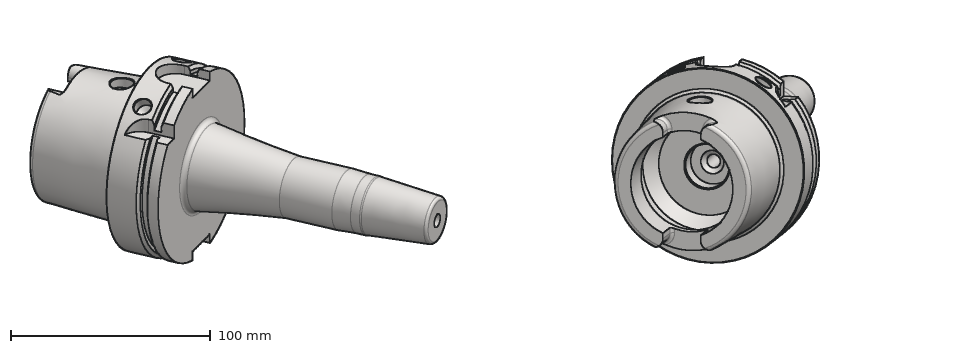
import cadquery as cq
import math


total_length = 210.0
shank_length = 50.0
flange_end = 79.0
neck_start = 47.7

shank_radius = 75.4 / 2
taper_slope = 0.05
mouth_radius = shank_radius - taper_slope * neck_start
mouth_fillet = 2.0
root_flare_length = 1.0
root_flare_rise = 1.7

flange_radius = 50.0
flange_chamfer = 0.5
groove_start = 66.8
groove_end = 73.0
groove_floor_radius = 45.8
groove_rim_width = 1.3
groove_rim_depth = 2.0

nose_fillet = 2.7
nose_root_radius = 22.7
waist_sag = 0.5
spindle_start = 129.8
spindle_end = 159.0
spindle_radius = 32.0 / 2
collar_start = 169.0
collar_end = 174.0
collar_radius = 15.3
tip_cone_start = 175.0
tip_cone_radius = 15.1
tip_cone_angle = 4.5
tip_fillet = 1.7

bore_radius = 53.0 / 2
clamp_groove_radius = 63 / 2
clamp_groove_start = 19.7
clamp_cone_angle = 60
bore_floor = 48.0
bore_floor_radius = 50.0 / 2
tube_thread_radius = 22.5 / 2
tube_chamfer = 0.6
tube_thread_depth = 10.5
coolant_radius = 7.0 / 2
countersink_radius = 12.0 / 2

notch_width = 19.5
upper_notch_depth = 9.7
lower_notch_depth = 15.0
notch_corner_radius = 5.0
notch_floor_fillet = 1.9

cross_hole_diameter = 12.0
cross_hole_x = 34.9
cross_hole_chamfer = 0.5

cutter_radius = 20.0 / 2
keyway_end_x = 64.7
keyway_floor = 43.9
notch_wall_y = -31.5
notch_floor_z = 31.3

blind_hole_diameter = 9.0
blind_hole_depth = 6.3
blind_hole_chamfer = 0.5
blind_hole_x = 59.0
blind_hole_angles = (32, -22)
drill_tip_angle = 118


def make_body():
    """Solid of revolution for the shank, flange and nose."""
    tip_radius = tip_cone_radius - (total_length - tip_cone_start) * math.tan(math.radians(tip_cone_angle))
    nose_root = flange_end + nose_fillet
    fillet_mid = nose_fillet * (1 - math.sqrt(0.5))

    mouth_mid = mouth_fillet * (1 - math.sqrt(0.5))
    waist_mid = ((nose_root + spindle_start) / 2, (nose_root_radius + spindle_radius) / 2 - waist_sag)
    profile = (
        cq.Workplane("XY")
        .moveTo(0, 0)
        .lineTo(0, mouth_radius - mouth_fillet)
        .threePointArc(
            (mouth_mid, mouth_radius - mouth_mid),
            (mouth_fillet, mouth_radius + taper_slope * mouth_fillet),
        )
        .lineTo(neck_start, shank_radius)
        .lineTo(shank_length - root_flare_length, shank_radius)
        .lineTo(shank_length, shank_radius + root_flare_rise)
        .lineTo(shank_length, flange_radius - flange_chamfer)
        .lineTo(shank_length + flange_chamfer, flange_radius)
        .lineTo(groove_start, flange_radius)
        .lineTo(groove_start + groove_rim_width, flange_radius - groove_rim_depth)
        .lineTo(groove_start + groove_rim_width, groove_floor_radius)
        .lineTo(groove_end - groove_rim_width, groove_floor_radius)
        .lineTo(groove_end - groove_rim_width, flange_radius - groove_rim_depth)
        .lineTo(groove_end, flange_radius)
        .lineTo(flange_end, flange_radius)
        .lineTo(flange_end, nose_root_radius + nose_fillet)
        .threePointArc(
            (flange_end + fillet_mid, nose_root_radius + fillet_mid),
            (nose_root, nose_root_radius),
        )
        .threePointArc(waist_mid, (spindle_start, spindle_radius))
        .lineTo(spindle_end, spindle_radius)
        .lineTo(collar_start, collar_radius)
        .lineTo(collar_end, collar_radius)
        .lineTo(tip_cone_start, tip_cone_radius)
        .lineTo(total_length, tip_radius)
        .lineTo(total_length, 0)
        .close()
    )
    body = profile.revolve(360, (0, 0, 0), (1, 0, 0))
    return body.faces(">X").edges().fillet(tip_fillet)


def make_bore():
    """Clamping bore, coolant tube seat and the coolant channel through the nose."""
    clamp_cone = (clamp_groove_radius - bore_radius) / math.tan(math.radians(clamp_cone_angle))
    floor_bevel = clamp_groove_radius - bore_floor_radius
    thread_end = bore_floor + tube_thread_depth
    countersink_end = thread_end + countersink_radius - coolant_radius
    return (
        cq.Workplane("XY")
        .moveTo(0, 0)
        .lineTo(0, bore_radius)
        .lineTo(clamp_groove_start, bore_radius)
        .lineTo(clamp_groove_start + clamp_cone, clamp_groove_radius)
        .lineTo(bore_floor - floor_bevel, clamp_groove_radius)
        .lineTo(bore_floor, bore_floor_radius)
        .lineTo(bore_floor, tube_thread_radius + tube_chamfer)
        .lineTo(bore_floor + tube_chamfer, tube_thread_radius)
        .lineTo(thread_end, tube_thread_radius)
        .lineTo(thread_end, countersink_radius)
        .lineTo(countersink_end, coolant_radius)
        .lineTo(total_length, coolant_radius)
        .lineTo(total_length, 0)
        .close()
        .revolve(360, (0, 0, 0), (1, 0, 0))
    )


def box_between(x_range, y_range, z_range):
    """Box given by its lower and upper limits along each axis."""
    lows, highs = zip(x_range, y_range, z_range)
    sizes = [high - low for low, high in zip(lows, highs)]
    return cq.Workplane("XY").box(*sizes, centered=False).translate(lows)


def drive_notch(depth):
    """Cutter for the notch at +Z: flanks flaring around the lobe corners, filleted floor."""
    half_width = notch_width / 2
    corner = notch_corner_radius
    local_radius = mouth_radius + taper_slope * depth

    center_y = half_width + corner
    center_z = math.sqrt((local_radius - corner) ** 2 - center_y ** 2)
    tangent_angle = math.atan2(center_z, center_y)
    mid_angle = (math.pi + tangent_angle) / 2

    def corner_point(angle):
        return center_y + corner * math.cos(angle), center_z + corner * math.sin(angle)

    def opposite(point):
        return -point[0], point[1]

    arc_start = (half_width, center_z)
    arc_mid = corner_point(mid_angle)
    arc_end = corner_point(tangent_angle)
    rim = (arc_end[0], flange_radius)
    cutter = (
        cq.Workplane("YZ")
        .moveTo(half_width, 0)
        .lineTo(*arc_start)
        .threePointArc(arc_mid, arc_end)
        .lineTo(*rim)
        .lineTo(*opposite(rim))
        .lineTo(*opposite(arc_end))
        .threePointArc(opposite(arc_mid), opposite(arc_start))
        .lineTo(-half_width, 0)
        .close()
        .extrude(depth)
    )
    return cutter.faces(">X").edges("not #Z or |Z").fillet(notch_floor_fillet)


def milled_slot(y_center, floor_z):
    """Vertical milled slot with a round end, open at the flange's nose side."""
    end = cq.Workplane("XY").center(keyway_end_x, y_center).circle(cutter_radius).extrude(flange_radius)
    run = box_between(
        (keyway_end_x, flange_end),
        (y_center - cutter_radius, y_center + cutter_radius),
        (0, flange_radius),
    )
    return end.union(run).translate((0, 0, floor_z))


def blind_hole(angle):
    """Radial drilled hole in the flange rim with a conical bottom."""
    radius = blind_hole_diameter / 2
    tip = radius / math.tan(math.radians(drill_tip_angle / 2))
    floor = flange_radius - blind_hole_depth

    above_rim = flange_radius + blind_hole_chamfer
    mouth = radius + 2 * blind_hole_chamfer
    return (
        cq.Workplane("XZ")
        .moveTo(0, floor - tip)
        .lineTo(radius, floor)
        .lineTo(radius, flange_radius - blind_hole_chamfer)
        .lineTo(mouth, above_rim)
        .lineTo(0, above_rim)
        .close()
        .revolve(360, (0, 0, 0), (0, 1, 0))
        .translate((blind_hole_x, 0, 0))
        .rotate((0, 0, 0), (1, 0, 0), angle)
    )


result = make_body().cut(make_bore())
result = result.cut(drive_notch(upper_notch_depth))
result = result.cut(drive_notch(lower_notch_depth).mirror("XY"))

cross_hole = (
    cq.Workplane("XY")
    .center(cross_hole_x, 0)
    .circle(cross_hole_diameter / 2)
    .extrude(shank_radius, both=True)
)
result = result.cut(cross_hole)
for low_z, high_z in ((-shank_radius, -mouth_radius), (mouth_radius, shank_radius)):
    rim_zone = cq.selectors.BoxSelector(
        (cross_hole_x - cross_hole_diameter, -cross_hole_diameter, low_z),
        (cross_hole_x + cross_hole_diameter, cross_hole_diameter, high_z),
    )
    result = result.edges(rim_zone).chamfer(cross_hole_chamfer)

keyway = milled_slot(0, keyway_floor)
result = result.cut(keyway).cut(keyway.mirror("XY"))
result = result.cut(milled_slot(notch_wall_y - cutter_radius, notch_floor_z))

for angle in blind_hole_angles:
    result = result.cut(blind_hole(angle))